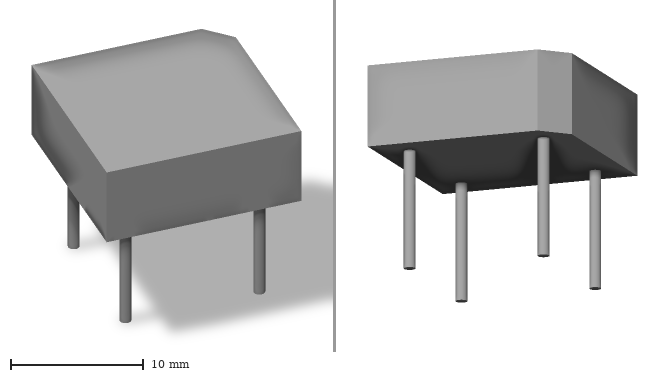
import cadquery as cq

body_side = 15.7
total_height = 15.4
body_height = 6.3
corner_cut = 2.0

pin_diameter = 0.9
pin_spacing = 10.8
pin_length = total_height - body_height


def make_body():
    """Square block standing on Z = 0, with its -X/+Y vertical edge chamfered."""
    block = cq.Workplane("XY").rect(body_side, body_side).extrude(body_height)
    return block.edges("|Z").edges("<X").edges(">Y").chamfer(corner_cut)


def make_pins():
    """Four pins hanging down from the underside of the body."""
    return (
        cq.Workplane("XY")
        .rect(pin_spacing, pin_spacing, forConstruction=True)
        .vertices()
        .circle(pin_diameter / 2)
        .extrude(-pin_length)
    )


result = make_body().union(make_pins())